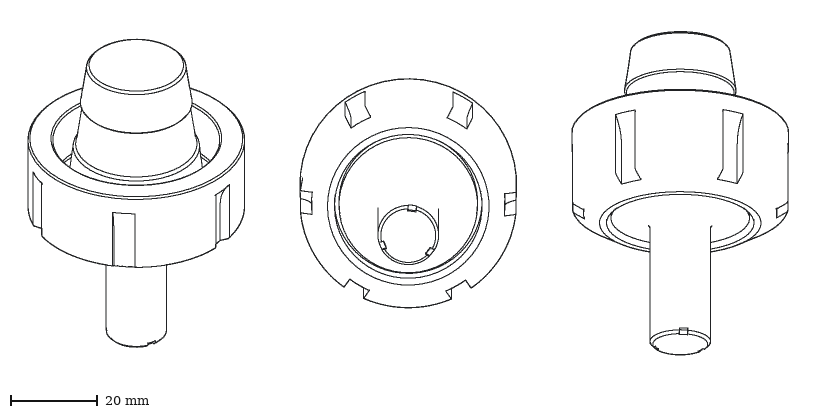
import cadquery as cq
import math

total_height = 73.65

nut_radius = 50.0 / 2
nut_bottom = 30.35
nut_top = 53.5
nut_cone_top = 34.25
nut_bottom_radius = 18.6
nut_edge_chamfer = 0.45
nut_edge_fillet = 1.0
nut_bore_radius = 38.5 / 2
nut_recess_radius = 40.5 / 2
nut_mouth_radius = 34.0 / 2
nut_recess_top = 41.25

slot_count = 6
slot_start_angle = 22.5
slot_width = 5.2
slot_floor_radius = 22.3
slot_arc_bottom = 42.4
slot_top = 49.05

ring_bottom = 35.35
ring_top = 39.25

body_radius = 32.0 / 2
shank_radius = 14.0 / 2
shank_chamfer = 0.65
shank_top = 28.9
shank_fillet = 2.65
shoulder_radius = 29.2 / 2
shoulder_bottom = 51.25
flare_radius = 14.0
flare_bottom = 52.0
neck_radius = 13.7
neck_bottom = 53.4
groove_radius = 12.45
groove_bottom = 62.3
lip_top = 63.4
lip_radius = 12.9
top_chamfer = 0.6
top_radius = 11.5

notch_count = 3
notch_width = 1.9
notch_height = 1.2
notch_inner_radius = 5.8


def polar_copies(shape, count, start_angle):
    """Copies of a shape spaced evenly around the Z axis."""
    step = 360.0 / count
    return [shape.rotate((0, 0, 0), (0, 0, 1), start_angle + i * step) for i in range(count)]


def make_slot_cutter():
    """Slot with a floor concentric with the nut, running out along an arc at its top."""
    outside = nut_radius + 1.5
    rise = slot_top - slot_arc_bottom
    depth = nut_radius - slot_floor_radius
    arc_radius = (rise**2 + depth**2) / (2 * depth)
    half_angle = math.asin(rise / arc_radius) / 2
    arc_middle = (
        slot_floor_radius + arc_radius * (1 - math.cos(half_angle)),
        slot_arc_bottom + arc_radius * math.sin(half_angle),
    )
    groove = (
        cq.Workplane("XZ")
        .moveTo(slot_floor_radius, nut_bottom)
        .lineTo(slot_floor_radius, slot_arc_bottom)
        .threePointArc(arc_middle, (nut_radius, slot_top))
        .lineTo(outside, slot_top)
        .lineTo(outside, nut_bottom)
        .close()
        .revolve(360, (0, 0), (0, 1))
    )
    width_limit = (
        cq.Workplane("XY", origin=(outside / 2, 0, 0))
        .rect(outside, slot_width)
        .extrude(nut_top)
    )
    return groove.intersect(width_limit)


def make_nut():
    """Turned nut with a stepped bore and wrench slots around its rim."""
    profile = [
        (nut_mouth_radius, nut_bottom),
        (nut_bottom_radius, nut_bottom),
        (nut_radius, nut_cone_top),
        (nut_radius, nut_top),
        (nut_bore_radius, nut_top),
        (nut_bore_radius, nut_recess_top),
        (nut_recess_radius, nut_recess_top),
        (nut_recess_radius, ring_bottom),
        (nut_mouth_radius, ring_bottom),
    ]
    nut = cq.Workplane("XZ").polyline(profile).close().revolve(360, (0, 0), (0, 1))
    nut = nut.faces(">Z").edges().chamfer(nut_edge_chamfer)
    lower_edge = cq.selectors.BoxSelector(
        (-nut_radius - 0.7, -nut_radius - 0.7, nut_cone_top - 0.1),
        (nut_radius + 0.7, nut_radius + 0.7, nut_cone_top + 0.1),
    )
    nut = nut.edges(lower_edge).fillet(nut_edge_fillet)
    for cutter in polar_copies(make_slot_cutter(), slot_count, slot_start_angle):
        nut = nut.cut(cutter)
    return nut


def make_ring():
    """Flat ring between the nut recess and the collet body."""
    return (
        cq.Workplane("XY", origin=(0, 0, ring_bottom))
        .circle(nut_recess_radius)
        .circle(body_radius)
        .extrude(ring_top - ring_bottom)
    )


def make_notch_cutter():
    """Short radial notch cut upward from the shank end."""
    length = shank_radius - notch_inner_radius + 0.7
    return (
        cq.Workplane("XY")
        .center(notch_inner_radius + length / 2, 0)
        .rect(length, notch_width)
        .extrude(notch_height)
    )


def make_collet():
    """Turned taper with a grooved nose, a shoulder and a notched shank."""
    fillet_middle = (
        shank_radius + shank_fillet * (1 - math.cos(math.pi / 4)),
        shank_top + shank_fillet * math.sin(math.pi / 4),
    )
    body_bottom = shank_top + shank_fillet
    groove_depth = lip_radius - groove_radius
    collet = (
        cq.Workplane("XZ")
        .lineTo(shank_radius - shank_chamfer, 0)
        .lineTo(shank_radius, shank_chamfer)
        .lineTo(shank_radius, shank_top)
        .threePointArc(fillet_middle, (shank_radius + shank_fillet, body_bottom))
        .lineTo(body_radius, body_bottom)
        .lineTo(body_radius, ring_top)
        .lineTo(shoulder_radius, shoulder_bottom)
        .lineTo(flare_radius, flare_bottom)
        .lineTo(neck_radius, neck_bottom)
        .lineTo(groove_radius, groove_bottom)
        .lineTo(groove_radius, lip_top - groove_depth)
        .lineTo(lip_radius, lip_top)
        .lineTo(top_radius, total_height - top_chamfer)
        .lineTo(top_radius - top_chamfer, total_height)
        .lineTo(0, total_height)
        .close()
        .revolve(360, (0, 0), (0, 1))
    )
    for cutter in polar_copies(make_notch_cutter(), notch_count, 0):
        collet = collet.cut(cutter)
    return collet


nut = make_nut()
ring = make_ring()
collet = make_collet()

result = cq.Compound.makeCompound([nut.val(), ring.val(), collet.val()])